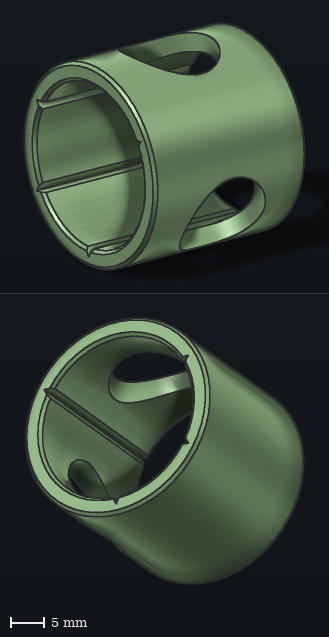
import cadquery as cq
import math

outer_radius = 15.92
bore_radius = 13.0
length = 29.0
edge_chamfer = 0.5

groove_tip_radius = 14.33
groove_half_angle = 30.0
groove_directions = [30.0, 150.0, 210.0, 270.0]

window_half_width = 7.7
window_half_length = 7.5
window_side_offset = 0.5
window_y = 0.5
window_directions = [90.0, 330.0]


def make_sleeve():
    """Tube with both the outer and the bore edges chamfered."""
    return (
        cq.Workplane("XZ", origin=(0, length / 2, 0))
        .circle(outer_radius)
        .circle(bore_radius)
        .extrude(length)
        .faces("<Y or >Y")
        .edges()
        .chamfer(edge_chamfer)
    )


def turn_about_axis(shape, direction):
    """Turn a shape pointing along +X to the given direction in the XZ plane."""
    return shape.rotate((0, 0, 0), (0, 1, 0), -direction)


def make_groove(direction):
    """Full-length triangular cutter whose tip points outwards from the axis."""
    base_radius = bore_radius - 2 * edge_chamfer
    half_width = (groove_tip_radius - base_radius) * math.tan(math.radians(groove_half_angle))
    groove = (
        cq.Workplane("XZ", origin=(0, length / 2, 0))
        .moveTo(groove_tip_radius, 0)
        .lineTo(base_radius, half_width)
        .lineTo(base_radius, -half_width)
        .close()
        .extrude(length)
    )
    return turn_about_axis(groove, direction)


def make_window(direction):
    """Slightly oval cutter from the sleeve axis out through one side of the wall."""
    window = (
        cq.Workplane("YZ")
        .center(window_y, -window_side_offset)
        .ellipse(window_half_length, window_half_width)
        .extrude(outer_radius)
    )
    return turn_about_axis(window, direction)


result = make_sleeve()
for direction in groove_directions:
    result = result.cut(make_groove(direction))
for direction in window_directions:
    result = result.cut(make_window(direction))